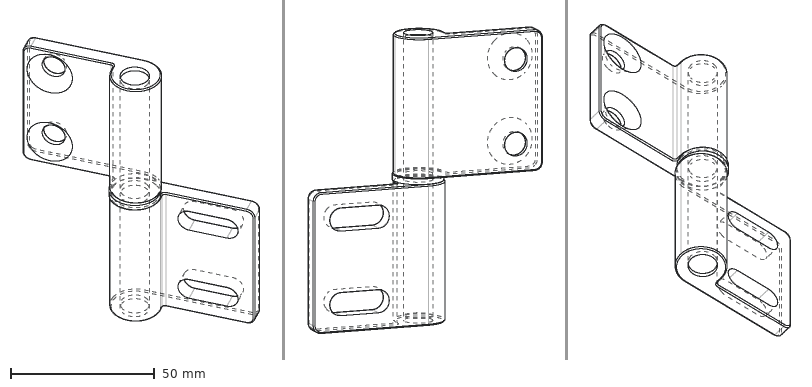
import cadquery as cq

total_height = 102.0
half_width = 42.5
collar_height = 2.0
leaf_height = (total_height - collar_height) / 2
leaf_thickness = 6.0
barrel_diameter = 18.0
barrel_radius = barrel_diameter / 2
root_radius = 1.0
corner_radius = 3.0
edge_chamfer = 0.5

pin_offset = 0.9
pin_diameter = 10.2
pin_recess = 1.6

edge_inset = 10.0
hole_x = edge_inset - half_width
hole_diameter = 8.4
countersink_diameter = 16.6
countersink_angle = 90
slot_x = 25.5
slot_length = 22.0
slot_width = 8.2

back_y = barrel_radius
front_y = back_y - leaf_thickness
upper_base_z = collar_height / 2
lower_base_z = -collar_height / 2 - leaf_height


def opening_heights(base_z):
    """Heights of the two openings of a leaf."""
    return [base_z + edge_inset, base_z + leaf_height - edge_inset]


def make_leaf(side, base_z):
    """Flat leaf tangent to the back of its barrel; side is -1 for left and 1 for right."""
    outer_x = side * half_width
    body = (
        cq.Workplane("XY", origin=(0, 0, base_z))
        .moveTo(0, back_y)
        .lineTo(outer_x, back_y)
        .lineTo(outer_x, front_y)
        .lineTo(side * barrel_radius, front_y)
        .lineTo(side * barrel_radius, 0)
        .threePointArc((0, -barrel_radius), (-side * barrel_radius, 0))
        .threePointArc((-side * barrel_radius / 2**0.5, barrel_radius / 2**0.5), (0, back_y))
        .close()
        .extrude(leaf_height)
    )
    root = cq.selectors.NearestToPointSelector((side * barrel_radius, front_y, base_z + leaf_height / 2))
    body = body.edges(root).fillet(root_radius)
    outer_face = "<X" if side < 0 else ">X"
    body = body.faces(outer_face).edges("|Y").fillet(corner_radius)
    rim = cq.selectors.NearestToPointSelector((side * half_width / 2, front_y, base_z + leaf_height))
    body = body.edges(rim).chamfer(edge_chamfer)
    return body.cut(make_pin_bore())


def make_pin_bore():
    """Bore for the pin through both barrels."""
    return (
        cq.Workplane("XY", origin=(0, -pin_offset, -total_height / 2))
        .circle(pin_diameter / 2)
        .extrude(total_height)
    )


def make_upper_leaf():
    """Left leaf with two countersunk screw holes."""
    leaf = make_leaf(-1, upper_base_z)
    centers = [(hole_x, z) for z in opening_heights(upper_base_z)]
    return (
        leaf.copyWorkplane(cq.Workplane("XZ", origin=(0, front_y, 0)))
        .pushPoints(centers)
        .cskHole(hole_diameter, countersink_diameter, countersink_angle)
    )


def make_lower_leaf():
    """Right leaf with two horizontal adjustment slots."""
    leaf = make_leaf(1, lower_base_z)
    slots = (
        cq.Workplane("XZ", origin=(0, front_y, 0))
        .pushPoints([(slot_x, z) for z in opening_heights(lower_base_z)])
        .slot2D(slot_length, slot_width)
        .extrude(-leaf_thickness)
    )
    return leaf.cut(slots)


def make_pin():
    """Pin with a collar that keeps the two barrels apart."""
    shaft = (
        cq.Workplane("XY", origin=(0, -pin_offset, pin_recess - total_height / 2))
        .circle(pin_diameter / 2)
        .extrude(total_height - 2 * pin_recess)
    )
    collar = (
        cq.Workplane("XY", origin=(0, -pin_offset, -collar_height / 2))
        .circle(barrel_radius)
        .extrude(collar_height)
    )
    return shaft.union(collar)


upper_leaf = make_upper_leaf()
lower_leaf = make_lower_leaf()
pin = make_pin()

result = cq.Compound.makeCompound([upper_leaf.val(), lower_leaf.val(), pin.val()])